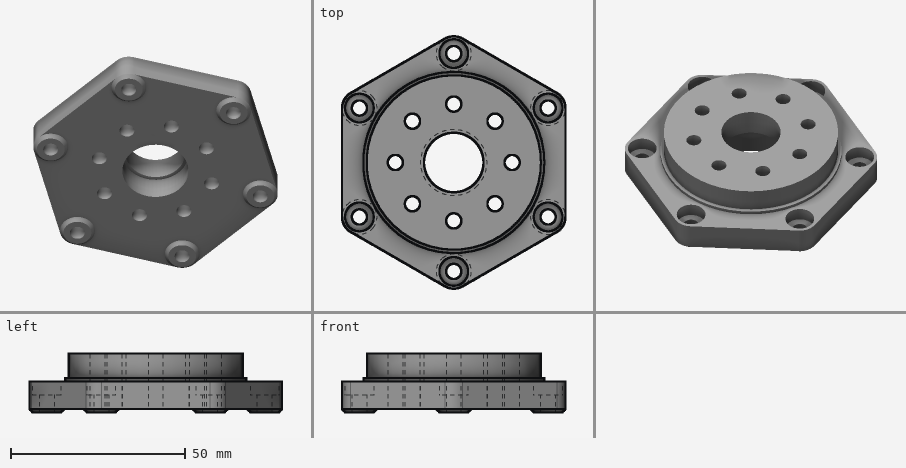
import cadquery as cq
import math

corner_circle_radius = 31.25
corner_radius = 5.0
corner_count = 6
plate_thickness = 8.0

foot_height = 1.0
foot_base_diameter = 2 * corner_radius
foot_tip_diameter = foot_base_diameter - 2 * foot_height

step_diameter = 52.0
step_height = 1.0
boss_diameter = 50.0
boss_height = 7.0

bore_diameter = 17.0
relief_diameter = 19.0

screw_diameter = 4.3
screw_head_diameter = 8.25
screw_head_depth = 4.0
boss_hole_count = 8
boss_hole_circle_radius = 16.75

plate_bottom = foot_height
plate_top = plate_bottom + plate_thickness
step_top = plate_top + step_height
boss_top = step_top + boss_height


def ring_points(radius, count):
    """Evenly spaced points on a circle, the first one on +Y."""
    angles = [math.pi / 2 + 2 * math.pi * i / count for i in range(count)]
    return [(radius * math.cos(a), radius * math.sin(a)) for a in angles]


def cylinders(diameter, bottom, top, centres):
    """Vertical cylinders of one diameter between two levels."""
    plane = cq.Workplane("XY").workplane(offset=bottom)
    return plane.pushPoints(centres).circle(diameter / 2).extrude(top - bottom)


def hexagon_plate():
    """Hexagon with its corners rounded about the corner screw centres."""
    apothem = corner_circle_radius * math.cos(math.pi / corner_count) + corner_radius
    circumradius = apothem / math.cos(math.pi / corner_count)
    plane = cq.Workplane("XY").workplane(offset=plate_bottom)
    plate = plane.polyline(ring_points(circumradius, corner_count)).close().extrude(plate_thickness)
    return plate.edges("|Z").fillet(corner_radius)


def foot(centre):
    """Conical foot tapering downwards from the plate."""
    tip = cq.Workplane("XY").center(*centre).circle(foot_tip_diameter / 2)
    return tip.workplane(offset=foot_height).circle(foot_base_diameter / 2).loft()


axis = [(0, 0)]
corner_points = ring_points(corner_circle_radius, corner_count)
boss_hole_points = ring_points(boss_hole_circle_radius, boss_hole_count)

body = hexagon_plate()
for corner in corner_points:
    body = body.union(foot(corner))
body = body.union(cylinders(step_diameter, plate_top, step_top, axis))
body = body.union(cylinders(boss_diameter, step_top, boss_top, axis))

body = body.cut(cylinders(bore_diameter, plate_top, boss_top, axis))
body = body.cut(cylinders(relief_diameter, plate_bottom, plate_top, axis))

body = body.cut(cylinders(screw_diameter, 0, plate_top, corner_points))
body = body.cut(cylinders(screw_head_diameter, plate_top - screw_head_depth, plate_top, corner_points))

body = body.cut(cylinders(screw_diameter, plate_bottom, boss_top, boss_hole_points))

result = body